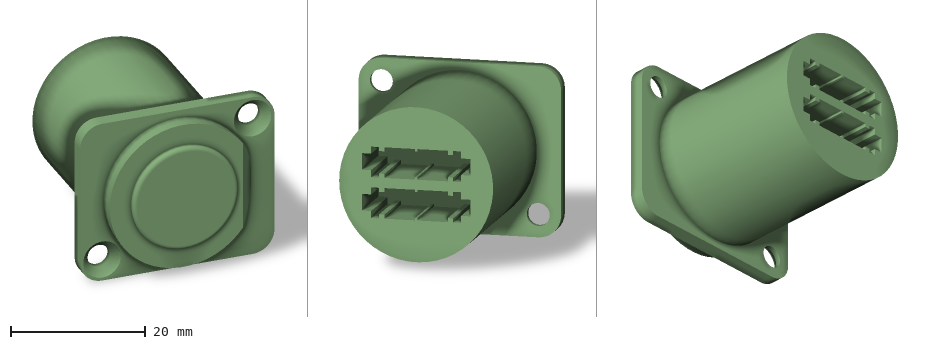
import cadquery as cq

overall_length = 32.3
barrel_length = 26.5
plate_thickness = 2.3
nose_length = 2.5
nose_start = barrel_length + plate_thickness
nose_end = nose_start + nose_length

barrel_radius = 11.8
nose_setback = 2.25

plate_width = 31.0
plate_height = 26.0
plate_corner_radius = 3.5
mount_hole_diameter = 3.5
countersink_diameter = 6.0
countersink_lip = 0.2
mount_hole_y = 12.0
mount_hole_z = 9.53

disc_radius = 8.43
disc_edge_radius = 0.65

socket_pitch = 6.2
socket_depth = 10.0
socket_width = 13.75
socket_height = 4.65
socket_full_width = 16.6
end_bay_height = 2.52
side_key_width = 0.85
side_key_height = 0.6
side_key_offset = 5.25
center_key_width = 0.35
center_key_height = 0.35


def section(x):
    """Work plane across the barrel axis: local x is Y, local y is Z."""
    return cq.Workplane("YZ", origin=(x, 0, 0))


def make_countersunk_hole(hole_y, hole_z):
    """Solid of a plate hole: straight bore, 45 degree cone and shallow straight lip at +X."""
    bore_radius = mount_hole_diameter / 2
    lip_radius = countersink_diameter / 2
    lip_start = nose_start - countersink_lip
    cone_start = lip_start - (lip_radius - bore_radius)
    half_profile = (
        cq.Workplane("XY")
        .moveTo(barrel_length, 0)
        .lineTo(barrel_length, bore_radius)
        .lineTo(cone_start, bore_radius)
        .lineTo(lip_start, lip_radius)
        .lineTo(nose_start, lip_radius)
        .lineTo(nose_start, 0)
        .close()
    )
    return half_profile.revolve(360, (0, 0, 0), (1, 0, 0)).translate((0, hole_y, hole_z))


def make_plate():
    plate = section(barrel_length).rect(plate_width, plate_height).extrude(plate_thickness)
    plate = plate.edges("|X").fillet(plate_corner_radius)
    hole_positions = [(mount_hole_y, mount_hole_z), (-mount_hole_y, -mount_hole_z)]
    for hole_y, hole_z in hole_positions:
        plate = plate.cut(make_countersunk_hole(hole_y, hole_z))
    return plate


def make_nose():
    """Continue the barrel past the plate, with its +Y side cut off by a sloping flat."""
    nose = section(nose_start).circle(barrel_radius).extrude(nose_length)
    flat_cut = (
        cq.Workplane("XY")
        .moveTo(nose_start, barrel_radius)
        .lineTo(nose_end, barrel_radius - nose_setback)
        .lineTo(nose_end, barrel_radius)
        .close()
        .extrude(barrel_radius, both=True)
    )
    return nose.cut(flat_cut)


def make_disc():
    disc = section(nose_end).circle(disc_radius).extrude(overall_length - nose_end)
    return disc.faces(">X").edges().fillet(disc_edge_radius)


def make_socket(center_z):
    """Solid shape of one socket, with key ribs left standing on its top and bottom walls."""
    plane = section(0).center(0, center_z)
    socket = plane.rect(socket_width, socket_height).extrude(socket_depth)
    socket = socket.union(plane.rect(socket_full_width, end_bay_height).extrude(socket_depth))
    keys = [
        (-side_key_offset, side_key_width, side_key_height),
        (0, center_key_width, center_key_height),
        (side_key_offset, side_key_width, side_key_height),
    ]
    for key_y, key_width, key_height in keys:
        for side in (-1, 1):
            key_z = side * (socket_height - key_height) / 2
            key = section(0).center(key_y, center_z + key_z).rect(key_width, key_height)
            socket = socket.cut(key.extrude(socket_depth))
    return socket


barrel = section(0).circle(barrel_radius).extrude(barrel_length)
result = barrel.union(make_plate()).union(make_nose()).union(make_disc())
for side in (-1, 1):
    result = result.cut(make_socket(side * socket_pitch / 2))